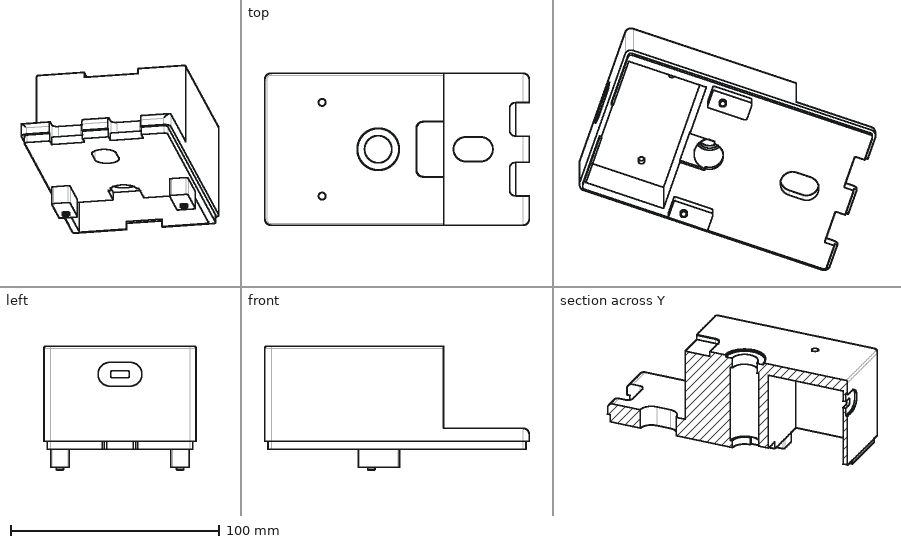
import cadquery as cq

length = 127.0
width = 73.0
height = 45.7
body_length = 85.9
shelf_height = 6.4
corner_radius = 3.0
top_edge_fillet = 0.9
rim_chamfer = 0.3
cut_margin = 1.3

base_thickness = 3.8
base_inset = 1.5

cavity_start = 2.5
cavity_end = 41.9
cavity_width = 63.2
roof_thickness = 6.4

bore_x = 54.5
bore_radius = 6.5
bore_relief_radius = 7.5
seat_radius = 9.9
seat_depth = 1.0

pin_hole_x = 27.5
pin_hole_y = 22.5
pin_hole_radius = 1.7

pocket_length = 13.0
pocket_width = 26.2
pocket_depth = 2.5
pocket_corner_radius = 3.2

shelf_slot_x = 100.1
shelf_slot_length = 18.8
shelf_slot_width = 11.7

notch_y = 14.4
notch_width = 16.0
shelf_notch_depth = 9.4
base_notch_depth = 6.5
notch_corner_radius = 2.5

port_z = 32.3
port_width = 9.0
port_height = 3.5
port_corner_radius = 1.0
port_recess_width = 21.1
port_recess_height = 11.4
port_recess_depth = 1.0

mouth_width = 17.3
passage_width = 2 * bore_relief_radius

foot_start = 44.8
foot_length = 20.0
foot_width = 9.0
foot_height = 8.6
foot_y = 28.8
foot_near_radius = 0.6
foot_far_radius = 1.0
foot_pin_x = 51.2
foot_pin_radius = 1.8
foot_pin_length = 1.4
foot_pin_chamfer = 0.5


def block(x_start, x_end, y_width, z_start, z_end, y_center=0.0):
    """Box between two X and two Z positions, centred on y_center."""
    return (
        cq.Workplane("XY", origin=(x_start, y_center, z_start))
        .box(x_end - x_start, y_width, z_end - z_start, centered=(False, True, False))
    )


def cylinder(x, y, radius, z_start, z_end):
    """Upright cylinder between two Z positions."""
    return cq.Workplane("XY", origin=(x, y, z_start)).circle(radius).extrude(z_end - z_start)


def make_housing():
    """Tall body with a low shelf, rounded at its outer edges."""
    body = (
        block(0, body_length, width, 0, height)
        .edges("|Z and <X").fillet(corner_radius)
        .faces(">Z").edges("not >X").fillet(top_edge_fillet)
    )
    shelf_start = body_length - corner_radius
    shelf = (
        block(shelf_start, length, width, 0, shelf_height)
        .edges("|Z and >X").fillet(corner_radius)
    )
    rounded_end = (
        block(shelf_start, length, width, 0, shelf_height)
        .edges(">X and >Z").fillet(corner_radius)
    )
    return body.union(shelf.intersect(rounded_end))


def make_base():
    """Base plate following the housing outline, set in on all sides."""
    return (
        block(base_inset, length - base_inset, width - 2 * base_inset, -base_thickness, 0)
        .edges("|Z").fillet(corner_radius - base_inset)
    )


def make_foot(y):
    """Block under the base plate with a small locating pin."""
    foot_bottom = -base_thickness - foot_height
    foot = (
        block(foot_start, foot_start + foot_length, foot_width, foot_bottom, -base_thickness, y)
        .edges("|Z and <X").fillet(foot_near_radius)
        .edges("|Z and >X").fillet(foot_far_radius)
    )
    pin = (
        cylinder(foot_pin_x, y, foot_pin_radius, foot_bottom - foot_pin_length, foot_bottom)
        .faces("<Z").chamfer(foot_pin_chamfer)
    )
    return foot.union(pin)


def make_cavity():
    """Room inside the tall end, open through the base plate."""
    roof_underside = height - roof_thickness
    return block(cavity_start, cavity_end, cavity_width, -base_thickness, roof_underside)


def make_passage():
    """Gap through the base plate, from the end wall across the cavity to the bore."""
    mouth = block(0, cavity_start, mouth_width, -base_thickness, 0)
    channel = block(cavity_start, bore_x, passage_width, -base_thickness, 0)
    return mouth.union(channel)


def make_bore():
    """Through bore with a shallow chamfered seat on top and a wider stretch inside."""
    roof_underside = height - roof_thickness
    seat_floor = height - seat_depth
    through = cylinder(bore_x, 0, bore_radius, -base_thickness - cut_margin, height)
    relief = cylinder(bore_x, 0, bore_relief_radius, 0, roof_underside)
    seat = cylinder(bore_x, 0, seat_radius, seat_floor, height)
    bevel = (
        cq.Workplane("XY", origin=(bore_x, 0, height - rim_chamfer))
        .circle(seat_radius)
        .workplane(offset=rim_chamfer)
        .circle(seat_radius + rim_chamfer)
        .loft()
    )
    return through.union(relief).union(seat).union(bevel)


def make_pin_hole(y):
    """Small round hole through the roof into the cavity."""
    return cylinder(pin_hole_x, y, pin_hole_radius, height - roof_thickness, height)


def make_port():
    """Rounded connector opening inside an oblong recess in the end wall."""
    recess = (
        cq.Workplane("YZ", origin=(0, 0, port_z))
        .slot2D(port_recess_width, port_recess_height)
        .extrude(port_recess_depth)
    )
    opening = (
        cq.Workplane("YZ", origin=(0, 0, port_z))
        .rect(port_width, port_height)
        .extrude(cavity_start + cut_margin)
        .edges("|X").fillet(port_corner_radius)
    )
    return recess.union(opening)


def make_top_pocket():
    """Shallow pocket in the top, open at the step, with a small chamfer around its rim."""
    pocket = (
        block(body_length - pocket_length, body_length + cut_margin, pocket_width,
              height - pocket_depth, height)
        .edges("|Z and <X").fillet(pocket_corner_radius)
    )
    bevel = (
        pocket.faces(">Z").wires().toPending()
        .offset2D(rim_chamfer)
        .extrude(-rim_chamfer, combine=False, taper=45)
    )
    return pocket.union(bevel)


def make_shelf_slot():
    """Oblong hole through the shelf and the base plate."""
    return (
        cq.Workplane("XY", origin=(shelf_slot_x, 0, -base_thickness))
        .slot2D(shelf_slot_length, shelf_slot_width)
        .extrude(base_thickness + shelf_height)
    )


def make_end_notch(y):
    """Notch with rounded inner corners in the shelf and a shallower square one in the base."""
    upper = (
        block(length - shelf_notch_depth, length + cut_margin, notch_width, 0, shelf_height, y)
        .edges("|Z and <X").fillet(notch_corner_radius)
    )
    lower = block(length - base_notch_depth, length, notch_width, -base_thickness, 0, y)
    return upper.union(lower)


result = make_housing().union(make_base())
for side in (-1, 1):
    result = result.union(make_foot(side * foot_y))

result = result.cut(make_cavity()).cut(make_passage())
result = result.cut(make_bore()).cut(make_port()).cut(make_top_pocket()).cut(make_shelf_slot())
for side in (-1, 1):
    result = result.cut(make_pin_hole(side * pin_hole_y)).cut(make_end_notch(side * notch_y))